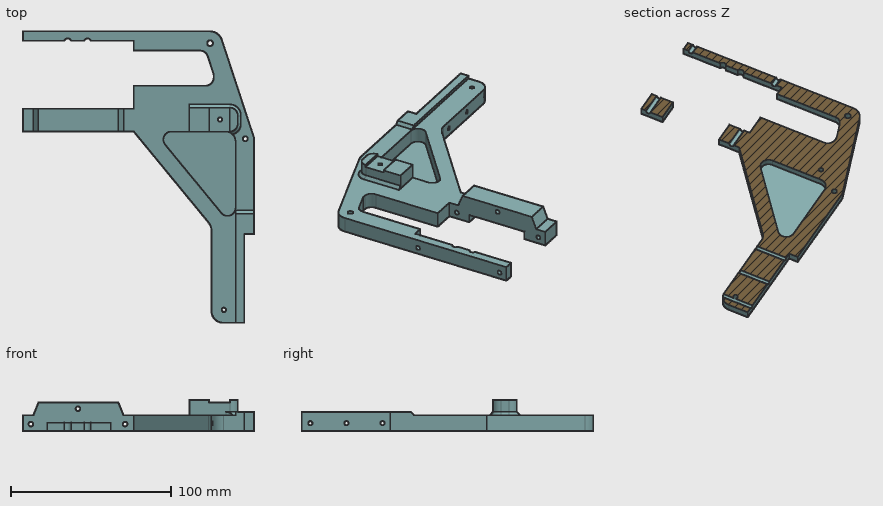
import cadquery as cq
import math

total_x = 144.4
total_y = 182.21
plate_t = 10.0
rail_top = 12.0
boss_top = 19.5
boss_seat = 18.0
arm_top = boss_seat

web_x = 69.2
upper_arm_y = 176.2
slot_top_y = 170.0
slot_bottom_y = 148.2
arm_back_y = 133.8
arm_front_y = 119.5
leg_left = 117.7
leg_right = 138.4
leg_top_y = 60.5
ledge_y = 55.5
slope_low_y = 115.6
lean = math.radians(18.2)
outer_corner_r = 8.0
bend_r = 8.0
leg_corner_r = 7.5
slot_r = 5.0
slot_right = 119.1
slot_bend_y = 155.2

notch_xs = (28.0, 40.4)
notch_r = 2.2
notch_depth = 1.4

pocket_floor = 0.5
pocket_right = 132.8
rib_w = 10.0
pocket_r = 5.0
pocket_boss_r = 6.0

block_bottom_x = (6.5, 62.9)
block_top_x = (9.7, 59.6)
relief_x = (15.2, 54.9)
relief_h = 5.4

boss_left = 104.0
boss_seat_x = (116.3, 129.3)
boss_right = 134.2
boss_back_y = 134.5
boss_r = 5.0
skirt = rail_top - plate_t
skirt_angle = 45

rail_end_y = 68.3

vertical_holes = (
    (116.9, 174.7, 3.5),
    (138.9, 115.0, 3.0),
    (125.5, 8.2, 2.6),
    (123.1, 127.0, 2.6),
)
arm_hole_d = 2.8
arm_holes = ((5.0, 4.4), (63.8, 4.4), (34.4, 14.0))
leg_hole_d = 2.5
leg_hole_z = 5.0
leg_hole_ys = (5.4, 28.0, 50.5)


def block(x0, x1, y0, y1, z0, z1):
    return cq.Workplane("XY").box(x1 - x0, y1 - y0, z1 - z0, centered=False).translate((x0, y0, z0))


def round_corner(body, x, y, radius):
    """Round the vertical edge nearest to the point (x, y)."""
    return body.edges(cq.selectors.NearestToPointSelector((x, y, plate_t / 2))).fillet(radius)


def make_base():
    corner_x = total_x - (total_y - slope_low_y) * math.tan(lean)
    slot_right_top = slot_right - (slot_top_y - slot_bend_y) * math.tan(lean)
    outline = [
        (0, total_y),
        (corner_x, total_y),
        (total_x, slope_low_y),
        (total_x, ledge_y),
        (leg_right, ledge_y),
        (leg_right, 0),
        (leg_left, 0),
        (leg_left, leg_top_y),
        (web_x, arm_front_y),
        (0, arm_front_y),
        (0, arm_back_y),
        (web_x, arm_back_y),
        (web_x, slot_bottom_y),
        (slot_right, slot_bottom_y),
        (slot_right, slot_bend_y),
        (slot_right_top, slot_top_y),
        (web_x, slot_top_y),
        (web_x, upper_arm_y),
        (0, upper_arm_y),
    ]
    base = cq.Workplane("XY").polyline(outline).close().extrude(plate_t)
    base = round_corner(base, corner_x, total_y, outer_corner_r)
    base = round_corner(base, leg_left, 0, leg_corner_r)
    base = round_corner(base, leg_left, leg_top_y, bend_r)
    base = round_corner(base, slot_right, slot_bottom_y, slot_r)
    base = round_corner(base, slot_right_top, slot_top_y, slot_r)
    for x in notch_xs:
        notch = cq.Workplane("XY").center(x, upper_arm_y + notch_depth - notch_r).circle(notch_r)
        base = base.cut(notch.extrude(plate_t))
    return base


def make_pocket():
    rib_run = leg_left - web_x
    rib_drop = arm_front_y - leg_top_y
    rib_shift = rib_w * math.hypot(rib_run, rib_drop) / rib_drop
    left = web_x + rib_shift
    bottom = arm_front_y - (pocket_right - left) * rib_drop / rib_run
    corners = [
        (left, arm_front_y),
        (pocket_right, arm_front_y),
        (pocket_right, bottom),
    ]
    pocket = cq.Workplane("XY").workplane(offset=pocket_floor).polyline(corners).close()
    pocket = pocket.extrude(boss_top)
    pocket = round_corner(pocket, left, arm_front_y, pocket_r)
    pocket = round_corner(pocket, pocket_right, bottom, pocket_r)
    return round_corner(pocket, pocket_right, arm_front_y, pocket_boss_r)


def make_arm_block():
    profile = [
        (block_bottom_x[0], plate_t),
        (block_bottom_x[1], plate_t),
        (block_top_x[1], arm_top),
        (block_top_x[0], arm_top),
    ]
    side = cq.Workplane("XZ", origin=(0, arm_back_y, 0)).polyline(profile).close()
    return side.extrude(arm_back_y - arm_front_y)


def make_boss():
    boss = block(boss_left, boss_right, arm_front_y, boss_back_y, plate_t, boss_top)
    boss = boss.edges("|Z and >X").fillet(boss_r)
    boss = boss.cut(block(*boss_seat_x, arm_front_y, boss_back_y, boss_seat, boss_top))
    return boss.union(make_boss_skirt())


def make_boss_skirt():
    foot_x = boss_left - 2 * skirt
    foot_right = boss_right + skirt
    foot_front = arm_front_y - skirt
    foot_back = boss_back_y + skirt
    foot = block(foot_x, foot_right, foot_front, foot_back, plate_t, rail_top)
    foot = foot.edges("|Z and >X").fillet(boss_r + skirt)
    foot = foot.faces("<Z").wires().toPending().workplane()
    foot = foot.extrude(-skirt, taper=skirt_angle, combine=False)
    return foot.cut(block(foot_x, boss_left, foot_front, foot_back, plate_t, rail_top))


def make_rail():
    profile = [
        (0, plate_t),
        (rail_end_y + rail_top - plate_t, plate_t),
        (rail_end_y, rail_top),
        (0, rail_top),
    ]
    rail = cq.Workplane("YZ", origin=(pocket_right, 0, 0)).polyline(profile).close()
    rail = rail.extrude(total_x - pocket_right)
    return rail.cut(block(leg_right, total_x, 0, ledge_y, plate_t, rail_top))


def drill(body):
    for x, y, diameter in vertical_holes:
        body = body.cut(cq.Workplane("XY").center(x, y).circle(diameter / 2).extrude(boss_top))
    for x, z in arm_holes:
        tool = cq.Workplane("XZ").center(x, z).circle(arm_hole_d / 2).extrude(-total_y)
        body = body.cut(tool)
    for y in leg_hole_ys:
        tool = cq.Workplane("YZ").center(y, leg_hole_z).circle(leg_hole_d / 2).extrude(total_x)
        body = body.cut(tool)
    return body


result = make_base().union(make_boss()).union(make_rail()).union(make_arm_block())
result = result.cut(make_pocket())
result = result.cut(block(*relief_x, arm_front_y, arm_back_y, 0, relief_h))
result = drill(result)